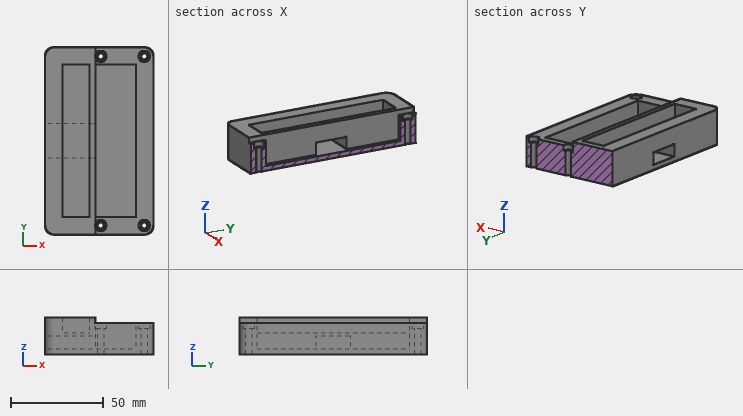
import cadquery as cq

LENGTH_X = 58.38
LENGTH_Y = 100.96
HEIGHT = 20.0
CORNER_RADIUS = 5.0

SHELF_START_X = 27.1
SHELF_DROP = 3.0
SHELF_Z = HEIGHT - SHELF_DROP

RIM = 9.48
WIDE_FLOOR_Z = 3.0
NARROW_FLOOR_Z = 11.5
RIB_START_X = 23.9
RIB_END_X = SHELF_START_X

OPENING_WIDTH = 18.6
OPENING_HEIGHT = 7.0

SCREW_DIAMETER = 3.4
HEAD_DIAMETER = 6.0
HEAD_DEPTH = 3.0
SCREW_INSET = 5.0
SCREW_INNER_X = 30.0


def box_between(x_range, y_range, z_range):
    """Box given by its lower and upper limit along each axis."""
    starts = (x_range[0], y_range[0], z_range[0])
    sizes = [upper - lower for lower, upper in (x_range, y_range, z_range)]
    return cq.Workplane("XY").box(*sizes, centered=False).translate(starts)


def make_body():
    """Block with rounded upright corners and a lowered shelf."""
    block = box_between((0, LENGTH_X), (0, LENGTH_Y), (0, HEIGHT))
    block = block.edges("|Z").fillet(CORNER_RADIUS)
    return block.cut(box_between((SHELF_START_X, LENGTH_X), (0, LENGTH_Y), (SHELF_Z, HEIGHT)))


def cut_pockets(body):
    """Shallow narrow pocket in the high side and deep wide pocket in the shelf."""
    y_range = (RIM, LENGTH_Y - RIM)
    narrow_pocket = box_between((RIM, RIB_START_X), y_range, (NARROW_FLOOR_Z, HEIGHT))
    wide_pocket = box_between((RIB_END_X, LENGTH_X - RIM), y_range, (WIDE_FLOOR_Z, HEIGHT))
    return body.cut(narrow_pocket).cut(wide_pocket)


def cut_cable_opening(body):
    """Rectangular opening from the -X side to the wide pocket, level with its floor."""
    middle_y = LENGTH_Y / 2
    y_range = (middle_y - OPENING_WIDTH / 2, middle_y + OPENING_WIDTH / 2)
    z_range = (WIDE_FLOOR_Z, WIDE_FLOOR_Z + OPENING_HEIGHT)
    return body.cut(box_between((0, RIB_END_X), y_range, z_range))


def cut_screw_holes(body):
    """Through holes at the shelf ends; their counterbores start at the shelf."""
    centers = [
        (x, y)
        for x in (SCREW_INNER_X, LENGTH_X - SCREW_INSET)
        for y in (SCREW_INSET, LENGTH_Y - SCREW_INSET)
    ]
    plane = cq.Workplane("XY").pushPoints(centers)
    shanks = plane.circle(SCREW_DIAMETER / 2).extrude(SHELF_Z)
    heads = plane.circle(HEAD_DIAMETER / 2).extrude(HEAD_DEPTH).translate((0, 0, SHELF_Z - HEAD_DEPTH))
    return body.cut(shanks).cut(heads)


body = make_body()
body = cut_pockets(body)
body = cut_cable_opening(body)
result = cut_screw_holes(body)